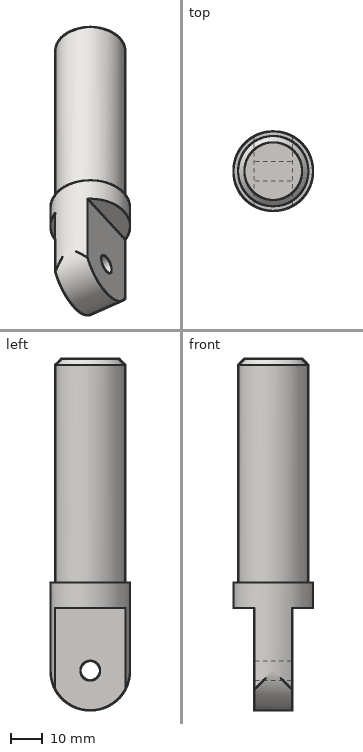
import cadquery as cq

total_height = 110.0
collar_diameter = 25.0
shaft_diameter = 22.0
shaft_length = 70.0
shaft_chamfer = 2.0
collar_height = 8.0
tongue_thickness = 12.0
pin_hole_diameter = 6.0

collar_radius = collar_diameter / 2
collar_top = total_height - shaft_length
tongue_length = collar_top - collar_height
pin_height = collar_radius


def make_shaft():
    """Upright round shaft with a chamfered top edge."""
    shaft = cq.Workplane("XY").workplane(offset=collar_top).circle(shaft_diameter / 2).extrude(shaft_length)
    return shaft.faces(">Z").chamfer(shaft_chamfer)


def make_collar():
    """Full round collar between the shaft and the tongue."""
    return cq.Workplane("XY").workplane(offset=tongue_length).circle(collar_radius).extrude(collar_height)


def make_tongue():
    """Flat tongue cut from the collar's round bar, with a tip rounded about X."""
    profile = (
        cq.Workplane("YZ")
        .moveTo(-collar_radius, tongue_length)
        .lineTo(-collar_radius, pin_height)
        .threePointArc((0, 0), (collar_radius, pin_height))
        .lineTo(collar_radius, tongue_length)
        .close()
        .extrude(tongue_thickness / 2, both=True)
    )
    bar = cq.Workplane("XY").circle(collar_radius).extrude(tongue_length)
    return profile.intersect(bar)


def make_pin_hole():
    """Cross hole through the tongue, concentric with its rounded tip."""
    return (
        cq.Workplane("YZ")
        .center(0, pin_height)
        .circle(pin_hole_diameter / 2)
        .extrude(tongue_thickness, both=True)
    )


result = make_shaft().union(make_collar()).union(make_tongue()).cut(make_pin_hole())